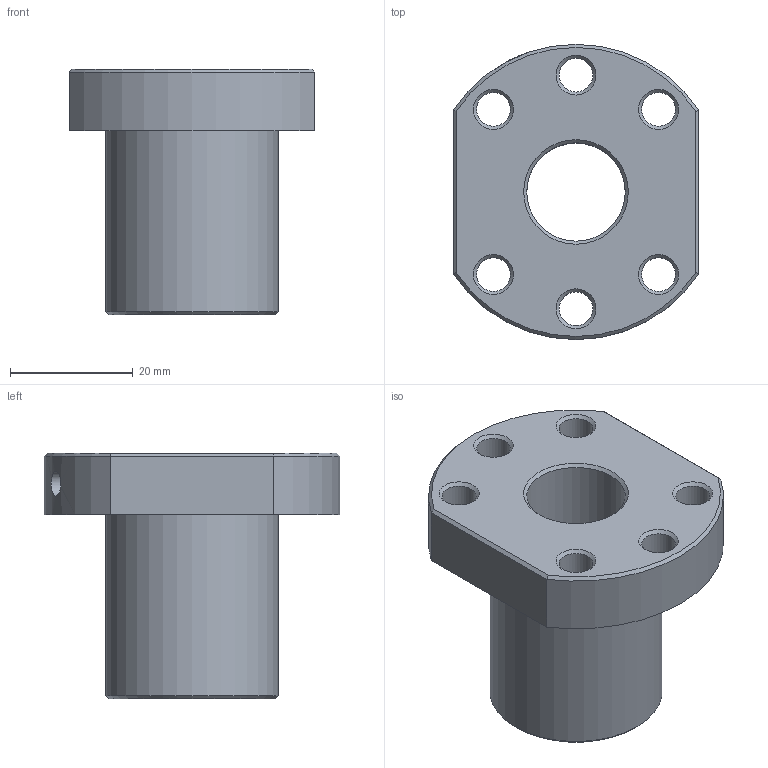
import cadquery as cq
import math

flange_diameter = 48.0
flange_width = 40.0
flange_thickness = 10.0
body_diameter = 28.0
total_length = 40.0
bore_diameter = 16.0
edge_chamfer = 0.5

mount_hole_diameter = 5.5
mount_circle_diameter = 38.0
mount_hole_spacing = 45.0
rounded_side_angles = (90.0, 270.0)

oil_hole_diameter = 4.0
oil_hole_depth = (flange_diameter - body_diameter) / 2
oil_hole_angle = 90.0 + mount_hole_spacing / 2


def make_flange():
    """Round flange with two flats parallel to YZ and a chamfered top rim."""
    disc = cq.Workplane("XY").circle(flange_diameter / 2).extrude(-flange_thickness)
    flats = cq.Workplane("XY").rect(flange_width, flange_diameter).extrude(-flange_thickness)
    return disc.intersect(flats).faces(">Z").edges().chamfer(edge_chamfer)


def make_body():
    """Cylindrical nut body with a chamfered lower end."""
    body = cq.Workplane("XY").circle(body_diameter / 2).extrude(-total_length)
    return body.faces("<Z").edges().chamfer(edge_chamfer)


def chamfered_hole(diameter, depth, x=0.0, y=0.0):
    """Cutter for a vertical hole whose mouth at Z = 0 is chamfered."""
    radius = diameter / 2
    hole = cq.Workplane("XY").center(x, y).circle(radius).extrude(-depth)
    mouth = cq.Solid.makeCone(
        radius + edge_chamfer,
        radius,
        edge_chamfer,
        pnt=cq.Vector(x, y, 0),
        dir=cq.Vector(0, 0, -1),
    )
    return hole.union(cq.Workplane(mouth))


def cut_mount_holes(part):
    """Cut three through holes on each rounded side of the flange."""
    for side_angle in rounded_side_angles:
        for step in (-1, 0, 1):
            angle = math.radians(side_angle + step * mount_hole_spacing)
            x = mount_circle_diameter / 2 * math.cos(angle)
            y = mount_circle_diameter / 2 * math.sin(angle)
            part = part.cut(chamfered_hole(mount_hole_diameter, flange_thickness, x, y))
    return part


def make_oil_hole():
    """Cutter for the blind radial hole from the flange rim inward, at mid thickness."""
    angle = math.radians(oil_hole_angle)
    outward = cq.Vector(math.cos(angle), math.sin(angle), 0)
    mid_flange = cq.Vector(0, 0, -flange_thickness / 2)
    rim_point = mid_flange + outward * (flange_diameter / 2)
    hole = cq.Solid.makeCylinder(
        oil_hole_diameter / 2,
        oil_hole_depth,
        pnt=rim_point,
        dir=outward * -1,
    )
    return cq.Workplane(hole)


nut = make_flange().union(make_body())
nut = nut.cut(chamfered_hole(bore_diameter, total_length))
nut = cut_mount_holes(nut)
result = nut.cut(make_oil_hole())